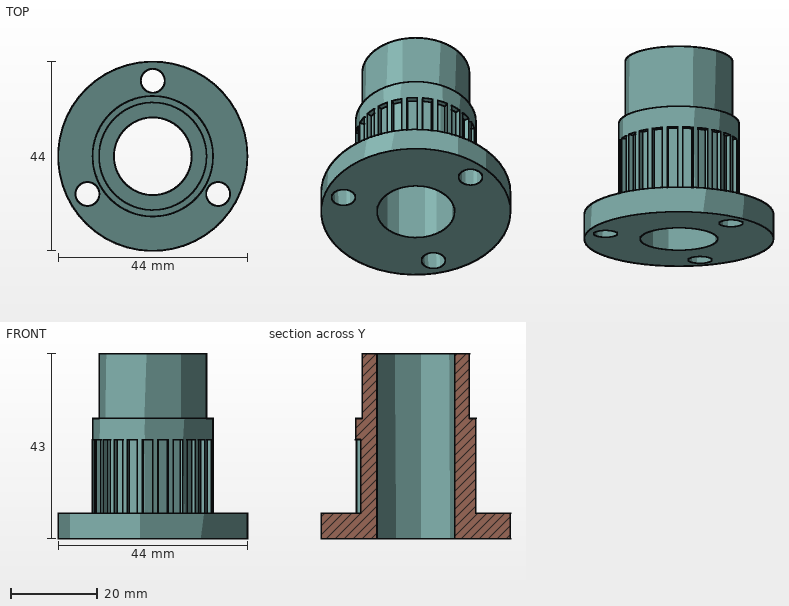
import cadquery as cq
import math

flange_diameter = 44.0
flange_height = 6.0
bolt_hole_diameter = 5.5
bolt_circle_radius = 17.5
bolt_hole_count = 3
first_bolt_angle = 90.0

collar_diameter = 28.0
collar_top = 28.0
neck_diameter = 25.0
total_height = 43.0
bore_diameter = 18.0

groove_top = 23.0
groove_depth = 1.2
groove_clearance = 0.45
rib_count = 24
pitch_angle = 360.0 / rib_count
rib_angle = pitch_angle / 3
groove_angle = pitch_angle - rib_angle
first_rib_angle = -90.0

collar_radius = collar_diameter / 2
groove_floor_radius = collar_radius - groove_depth


def polar(radius, angle):
    """Point at a radius and an angle in degrees."""
    return (
        radius * math.cos(math.radians(angle)),
        radius * math.sin(math.radians(angle)),
    )


def cylinder(diameter, bottom, top):
    return cq.Workplane("XY").workplane(offset=bottom).circle(diameter / 2).extrude(top - bottom)


def spline_groove(start_angle):
    """Groove cutter with radial sides and a round floor, open past the collar surface."""
    outer = collar_radius + groove_clearance
    end_angle = start_angle + groove_angle
    middle_angle = start_angle + groove_angle / 2
    return (
        cq.Workplane("XY")
        .workplane(offset=flange_height)
        .moveTo(*polar(groove_floor_radius, start_angle))
        .lineTo(*polar(outer, start_angle))
        .threePointArc(polar(outer, middle_angle), polar(outer, end_angle))
        .lineTo(*polar(groove_floor_radius, end_angle))
        .threePointArc(polar(groove_floor_radius, middle_angle), polar(groove_floor_radius, start_angle))
        .close()
        .extrude(groove_top - flange_height)
    )


body = cylinder(flange_diameter, 0, flange_height)
body = body.union(cylinder(collar_diameter, flange_height, collar_top))
body = body.union(cylinder(neck_diameter, collar_top, total_height))

for index in range(rib_count):
    body = body.cut(spline_groove(first_rib_angle + rib_angle + index * pitch_angle))

bolt_centers = [
    polar(bolt_circle_radius, first_bolt_angle + index * 360.0 / bolt_hole_count)
    for index in range(bolt_hole_count)
]
bolt_holes = (
    cq.Workplane("XY")
    .pushPoints(bolt_centers)
    .circle(bolt_hole_diameter / 2)
    .extrude(flange_height)
)

result = body.cut(bolt_holes).cut(cylinder(bore_diameter, 0, total_height))